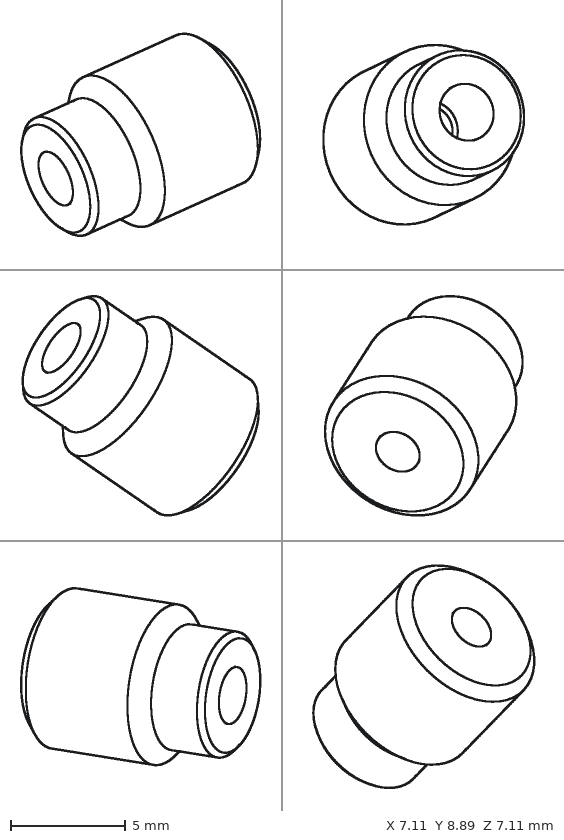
import cadquery as cq

length = 8.89
body_radius = 7.11 / 2
neck_radius = 5.58 / 2

neck_length = 2.54
shoulder_height = body_radius - neck_radius
neck_chamfer = 0.26
back_chamfer = 0.52

wide_bore_radius = 2.525 / 2
narrow_bore_radius = 2.03 / 2
wide_bore_depth = length / 2


def turned_body():
    """Revolve the outer half profile (radius, position along Y)."""
    return (
        cq.Workplane("XY")
        .lineTo(neck_radius - neck_chamfer, 0)
        .lineTo(neck_radius, neck_chamfer)
        .lineTo(neck_radius, neck_length)
        .lineTo(body_radius, neck_length + shoulder_height)
        .lineTo(body_radius, length - back_chamfer)
        .lineTo(body_radius - back_chamfer, length)
        .lineTo(0, length)
        .close()
        .revolve(360, (0, 0, 0), (0, 1, 0))
    )


def bore(radius, depth):
    """Cylinder running from the neck end face in the +Y direction."""
    return cq.Workplane("XZ").circle(radius).extrude(-depth)


result = (
    turned_body()
    .cut(bore(narrow_bore_radius, length))
    .cut(bore(wide_bore_radius, wide_bore_depth))
)